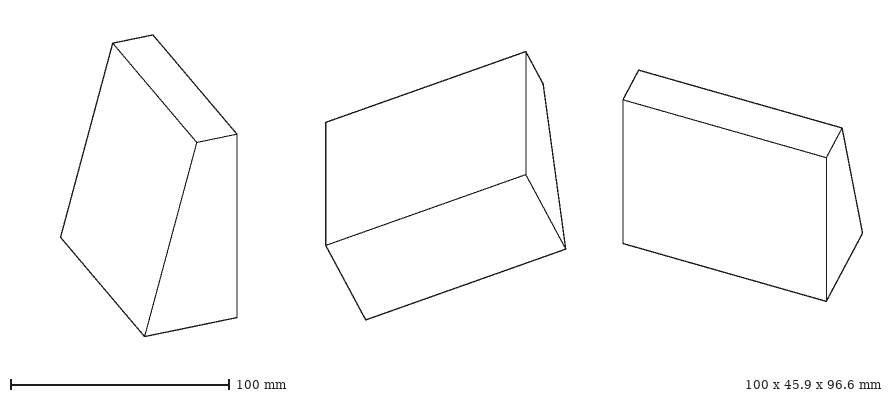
import cadquery as cq

width = 100.0
base_depth = 45.9
height = 96.6

top_depth = 20.0

back_y = base_depth / 2
side_profile = [
    (back_y - base_depth, 0),
    (back_y, 0),
    (back_y, height),
    (back_y - top_depth, height),
]

result = cq.Workplane("YZ").polyline(side_profile).close().extrude(width / 2, both=True)